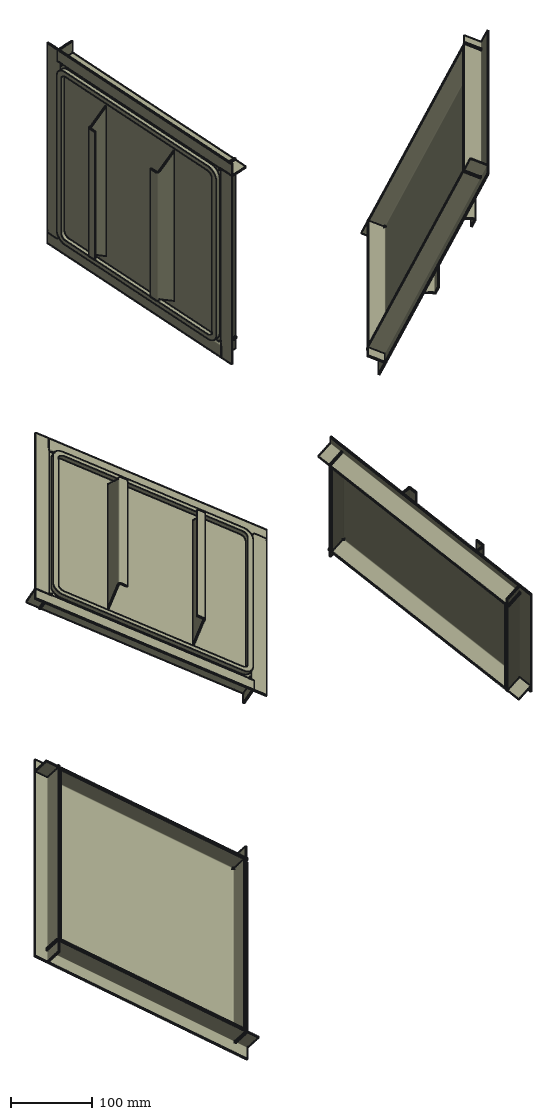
import cadquery as cq

frame_size = 323.8
half_frame = frame_size / 2
angle_width = 20.0
angle_depth = 25.0
angle_sheet = 2.0
angle_bend = 2.5
angle_end_setback = 16.2

panel_recess = 1.0
panel_size = 283.0
panel_sheet = 2.0
panel_bend = 3.2
panel_depth = angle_depth - panel_recess
half_panel = panel_size / 2
face_size = panel_size - 2 * panel_bend

seal_size = 279.8
seal_width = 7.5
seal_outer_corner = 14.2
seal_inner_corner = 8.0
seal_front = -5.0

handle_front = -29.0
handle_spacing = 121.5
handle_sheet = 1.88
handle_bend = 2.3
handle_flange = 12.0
handle_flange_length = 207.2
handle_web_length = 243.0
handle_straight = 5.0
handle_height = panel_recess - handle_front


def bent_angle(width, depth, length, sheet, bend):
    """Bent L along Z: flange in front (Y = 0) toward -X, web on the X = 0 side going back."""
    section = (
        cq.Workplane("XY")
        .moveTo(-width, 0)
        .lineTo(-bend, 0)
        .radiusArc((0, bend), -bend)
        .lineTo(0, depth)
        .lineTo(-sheet, depth)
        .lineTo(-sheet, bend)
        .radiusArc((-bend, sheet), bend - sheet)
        .lineTo(-width, sheet)
        .close()
    )
    return section.extrude(length)


def turned(body, quarter_turns):
    """The body turned about the frame's axis; one turn takes the left side to the top."""
    return body.rotate((0, 0, 0), (0, 1, 0), 90 * quarter_turns)


def square_block(size, front, back):
    """A square block centred on the Y axis, between two Y positions."""
    block = cq.Workplane("XY").box(size, back - front, size, centered=(True, False, True))
    return block.translate((0, front, 0))


def left_frame_angle():
    length = frame_size - angle_end_setback
    bar = bent_angle(angle_width, angle_depth, length, angle_sheet, angle_bend).translate(
        (angle_width - half_frame, 0, angle_end_setback - half_frame)
    )
    behind_flanges = square_block(frame_size, angle_sheet, angle_depth)
    slotted = bar.cut(turned(bar, 1).intersect(behind_flanges))
    return slotted.cut(turned(slotted, -1))


left_angle = left_frame_angle()
frame_angles = [turned(left_angle, turns) for turns in range(4)]


def make_panel():
    bend_back = panel_recess + panel_bend
    panel_back = panel_recess + panel_depth
    face = square_block(face_size, panel_recess, panel_recess + panel_sheet)
    rim = square_block(panel_size, bend_back, panel_back).cut(
        square_block(panel_size - 2 * panel_sheet, bend_back, panel_back)
    )
    panel = face.union(rim)
    edge = bent_angle(2 * panel_bend, panel_depth, face_size, panel_sheet, panel_bend)
    edge = edge.translate((half_panel, panel_recess, -face_size / 2))
    for turns in range(4):
        panel = panel.union(turned(edge, turns))
    return panel


panel = make_panel()


def rounded_block(size, corner):
    return square_block(size, seal_front, panel_recess).edges("|Y").fillet(corner)


seal = rounded_block(seal_size, seal_outer_corner).cut(
    rounded_block(seal_size - 2 * seal_width, seal_inner_corner)
)


def right_handle():
    outline = (
        cq.Workplane("YZ")
        .moveTo(0, -handle_flange_length / 2)
        .lineTo(handle_straight, -handle_flange_length / 2)
        .lineTo(handle_height, -handle_web_length / 2)
        .lineTo(handle_height, handle_web_length / 2)
        .lineTo(handle_straight, handle_flange_length / 2)
        .lineTo(0, handle_flange_length / 2)
        .close()
        .extrude(-handle_flange)
    )
    bar = bent_angle(handle_flange, handle_height, handle_web_length, handle_sheet, handle_bend)
    handle = bar.translate((0, 0, -handle_web_length / 2)).intersect(outline)
    return handle.translate((handle_spacing / 2, handle_front, 0))


handles = [turned(right_handle(), turns) for turns in (0, 2)]

result = cq.Compound.makeCompound(
    [angle.val() for angle in frame_angles]
    + [panel.val(), seal.val()]
    + [handle.val() for handle in handles]
)